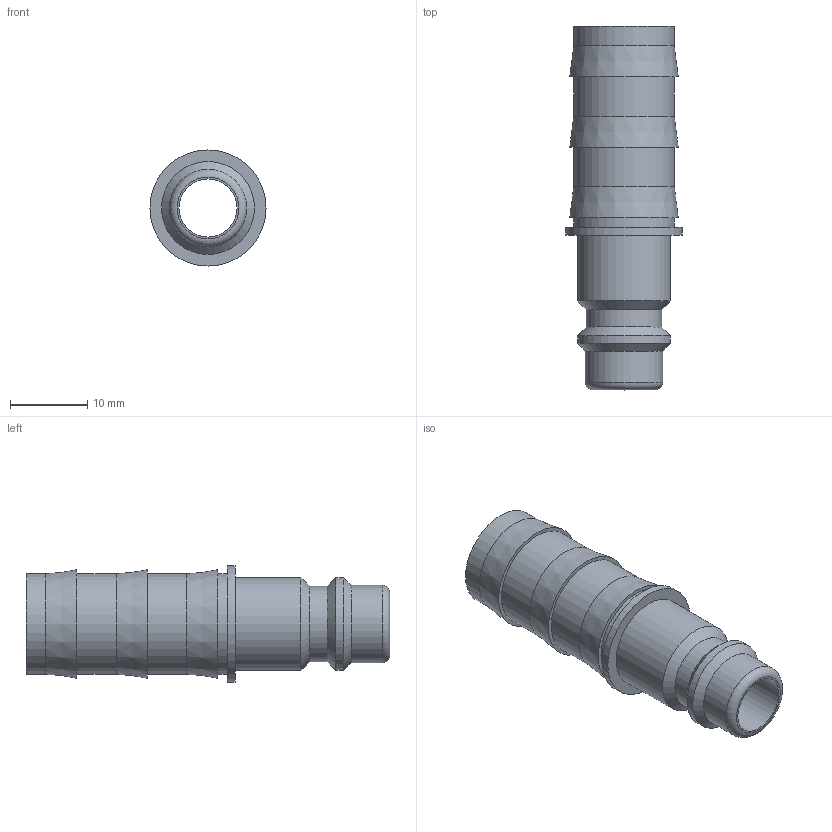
import cadquery as cq


overall_length = 47.0
bore_diameter = 7.5

nose_radius = 5.0
nose_rounding = 1.0
nose_length = 5.0
body_radius = 6.0
neck_radius = 4.875
ridge_land_length = 1.0
neck_length = 2.25

collar_radius = 7.5
collar_start = 20.0
collar_thickness = 1.0

hose_radius = 6.5
barb_radius = 7.0
barb_length = 4.0
barb_count = 3
barb_pitch = 9.1
first_barb_gap = 1.25

nose_flank = body_radius - nose_radius
neck_flank = body_radius - neck_radius
ridge_start = nose_length + nose_flank
ridge_end = ridge_start + ridge_land_length
neck_start = ridge_end + neck_flank
neck_end = neck_start + neck_length
body_start = neck_end + neck_flank
collar_end = collar_start + collar_thickness
first_barb_start = collar_end + first_barb_gap


def revolve_about_y(half_profile):
    return half_profile.close().revolve(360, (0, 0, 0), (0, 1, 0))


def make_plug():
    """Solid plug end, from the tip to the collar; points are (radius, Y)."""
    plug = revolve_about_y(
        cq.Workplane("XY")
        .moveTo(0, 0)
        .lineTo(nose_radius, 0)
        .lineTo(nose_radius, nose_length)
        .lineTo(body_radius, ridge_start)
        .lineTo(body_radius, ridge_end)
        .lineTo(neck_radius, neck_start)
        .lineTo(neck_radius, neck_end)
        .lineTo(body_radius, body_start)
        .lineTo(body_radius, collar_start)
        .lineTo(0, collar_start)
    )
    return plug.faces("<Y").edges().fillet(nose_rounding)


def make_cylinder(radius, start, end):
    """Solid cylinder on the Y axis between two Y positions."""
    return revolve_about_y(
        cq.Workplane("XY")
        .moveTo(0, start)
        .lineTo(radius, start)
        .lineTo(radius, end)
        .lineTo(0, end)
    )


def make_barb(start):
    """Solid cone with its sharp shoulder facing the collar, tapering to the hose diameter."""
    end = start + barb_length
    return revolve_about_y(
        cq.Workplane("XY")
        .moveTo(0, start)
        .lineTo(barb_radius, start)
        .lineTo(hose_radius, end)
        .lineTo(0, end)
    )


result = make_plug()
result = result.union(make_cylinder(collar_radius, collar_start, collar_end))
result = result.union(make_cylinder(hose_radius, collar_end, overall_length))
for barb_index in range(barb_count):
    result = result.union(make_barb(first_barb_start + barb_index * barb_pitch))

result = result.cut(make_cylinder(bore_diameter / 2, 0, overall_length))